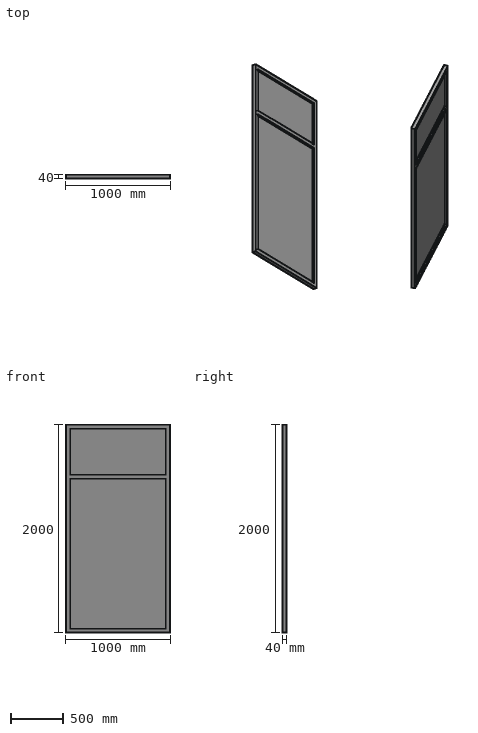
import cadquery as cq

width = 1000.0
depth = 40.0
height = 2000.0

member_width = 40.0
transom_center = 0.75 * height

panel_recess = 18.0
panel_thickness = depth - 2 * panel_recess

opening_width = width - 2 * member_width
lower_opening = (member_width, transom_center - member_width / 2)
upper_opening = (transom_center + member_width / 2, height - member_width)
openings = [lower_opening, upper_opening]


def block(size_x, size_y, bottom, top):
    """Box centred on X and Y, spanning bottom to top in Z."""
    box = cq.Workplane("XY").box(size_x, size_y, top - bottom, centered=(True, True, False))
    return box.translate((0, 0, bottom))


def make_frame():
    """Rectangular frame with one transom, open right through between its members."""
    frame = block(width, depth, 0, height)
    for bottom, top in openings:
        frame = frame.cut(block(opening_width, depth, bottom, top))
    return frame


def make_panel(bottom, top):
    """Flat infill panel that fills one opening edge to edge."""
    return block(opening_width, panel_thickness, bottom, top)


frame = make_frame()
panels = [make_panel(bottom, top) for bottom, top in openings]

result = cq.Compound.makeCompound([frame.val(), *[panel.val() for panel in panels]])